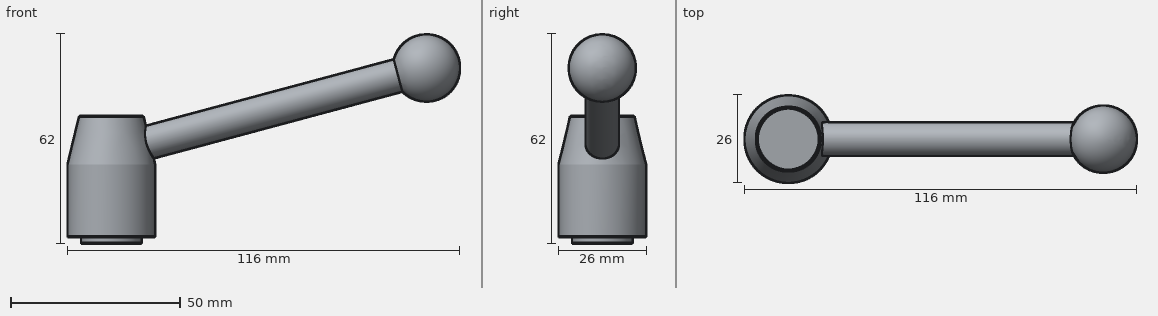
import cadquery as cq
import math

hub_diameter = 26.0
hub_top_z = 38.0
taper_start_z = 23.5
taper_top_diameter = 19.0
edge_bevel = 0.5
foot_diameter = 18.0
foot_height = 1.9

rod_diameter = 10.0
rod_angle = 15.0
ball_diameter = 20.0
overall_length = 116.0
overall_height = 62.0

hub_radius = hub_diameter / 2
ball_radius = ball_diameter / 2
ball_x = overall_length - hub_radius - ball_radius
ball_z = overall_height - ball_radius


def make_hub():
    """Revolve the hub half-profile, from the foot up, about the Z axis."""
    foot_radius = foot_diameter / 2
    taper_top_radius = taper_top_diameter / 2
    taper_slope = (hub_radius - taper_top_radius) / (hub_top_z - taper_start_z)
    taper_end_radius = taper_top_radius + edge_bevel * taper_slope
    return (
        cq.Workplane("XZ")
        .moveTo(0, 0)
        .lineTo(foot_radius - edge_bevel, 0)
        .lineTo(foot_radius, edge_bevel)
        .lineTo(foot_radius, foot_height)
        .lineTo(hub_radius - edge_bevel, foot_height)
        .lineTo(hub_radius, foot_height + edge_bevel)
        .lineTo(hub_radius, taper_start_z)
        .lineTo(taper_end_radius, hub_top_z - edge_bevel)
        .lineTo(taper_top_radius - edge_bevel, hub_top_z)
        .lineTo(0, hub_top_z)
        .close()
        .revolve(360, (0, 0, 0), (0, 1, 0))
    )


def make_rod():
    """Rod from the hub axis to the ball centre, tilted up from +X."""
    slope = math.radians(rod_angle)
    direction = cq.Vector(math.cos(slope), 0, math.sin(slope))
    start = cq.Vector(0, 0, ball_z - ball_x * math.tan(slope))
    length = ball_x / math.cos(slope)
    return cq.Workplane(cq.Solid.makeCylinder(rod_diameter / 2, length, start, direction))


def make_ball():
    """Ball knob centred on the end of the rod axis."""
    return cq.Workplane("XY").sphere(ball_radius).translate((ball_x, 0, ball_z))


result = make_hub().union(make_rod()).union(make_ball())